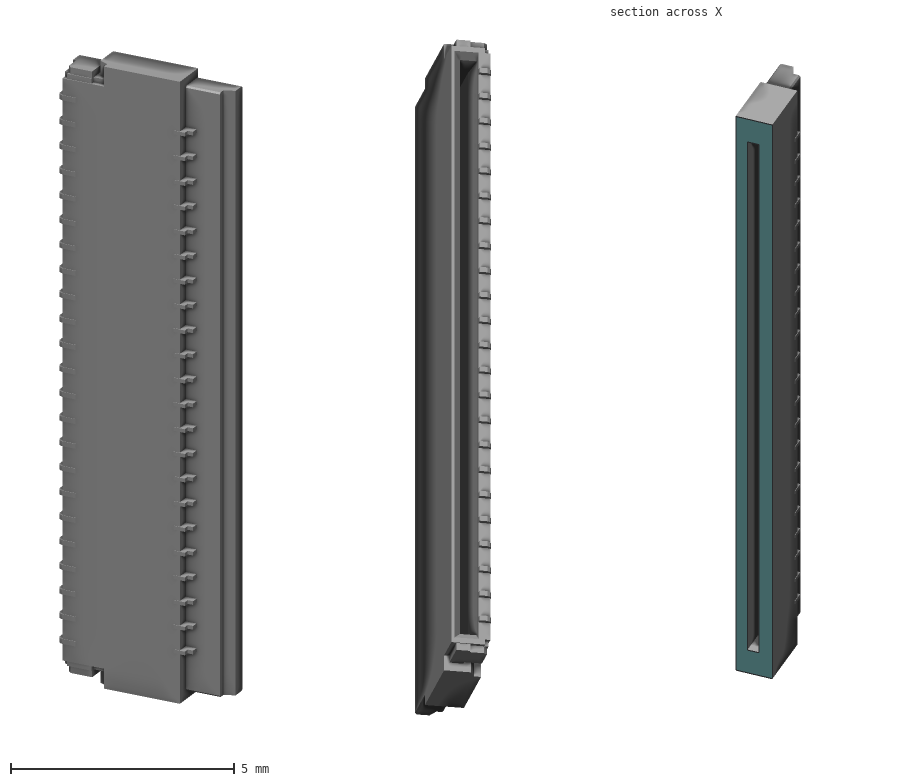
import cadquery as cq


length = 15.1
height = 0.9
board_gap = 0.02
mouth_x = 0.12
ear_x = 0.94
ear_under_x = 1.16
rear_x = 3.08
ear_slope_top = 0.29
ear_slope_bottom = 0.18
ledge_half_length = 7.07
shoulder_half_length = 7.19
shoulder_y = 0.14

hold_half_length = 7.35
hold_setback = 0.03
hold_start_x = mouth_x + hold_setback
hold_top_y = 0.79
hold_shoulder_y = 0.47
hold_front_x = 0.23
hold_rear_x = 0.85
hold_front_y = 0.06
hold_base_y = 0.038
hold_chamfer = 0.08

slot_floor_y = 0.29
slot_ceiling_y = 0.68
slot_depth = 2.11
slot_half_length = 6.92
mouth_bevel = 0.15
throat_depth = 0.9
throat_floor_rise = 0.06
throat_ceiling_drop = 0.06

actuator_half_length = 7.34
actuator_bottom_y = 0.3
actuator_edge_x = 3.94
actuator_edge_y = 0.47
actuator_end_x = 4.2
actuator_end_y = 0.57
actuator_chamfer = 0.038

front_count = 23
front_row_span = 13.2
pitch = front_row_span / (front_count - 1)
rear_count = front_count - 1
front_width = 0.12
rear_width = 0.09
front_tail_top_y = slot_floor_y
front_bend_x = 0.05
front_bend_y = 0.1
front_toe_y = 0.03
front_foot_x = 0.45
rear_foot_x = 2.93
rear_heel_x = 3.22
rear_step_y = 0.14
rear_tail_end_x = 3.35
embed = 0.05


def prism(points, z_from, z_to):
    """Extrude a closed XY outline between two Z heights."""
    return cq.Workplane("XY", origin=(0, 0, z_from)).polyline(points).close().extrude(z_to - z_from)


def centred_prism(points, half_length):
    return prism(points, -half_length, half_length)


def rectangle(x_from, x_to, y_from, y_to):
    return [(x_from, y_from), (x_to, y_from), (x_to, y_to), (x_from, y_to)]


def make_housing():
    middle = centred_prism(
        [
            (ear_x, height),
            (ear_x, ear_slope_top),
            (ear_under_x, ear_slope_bottom),
            (ear_under_x, board_gap),
            (rear_x, board_gap),
            (rear_x, height),
        ],
        length / 2,
    )
    mouth = centred_prism(rectangle(mouth_x, ear_under_x, board_gap, height), ledge_half_length)
    shoulder = centred_prism(rectangle(mouth_x, ear_under_x, shoulder_y, height), shoulder_half_length)
    return middle.union(mouth).union(shoulder)


def make_hold_downs():
    """Bars through the housing whose ends form the stepped block at each end."""
    outline = [
        (hold_start_x, hold_top_y),
        (hold_start_x, hold_shoulder_y),
        (hold_front_x, hold_shoulder_y),
        (hold_front_x, hold_front_y + hold_chamfer),
        (hold_front_x + hold_chamfer, hold_front_y),
        (hold_rear_x, hold_front_y),
        (hold_rear_x, hold_shoulder_y),
        (ear_x, hold_shoulder_y),
        (ear_x, hold_top_y),
    ]
    base = centred_prism(
        rectangle(hold_front_x, hold_rear_x, hold_base_y, hold_shoulder_y), shoulder_half_length
    )
    return centred_prism(outline, hold_half_length).union(base)


def make_slot():
    """Cable slot, bevelled at its upper edge and at both ends."""
    bevel_x = mouth_x + mouth_bevel
    throat_x = mouth_x + throat_depth
    bottom_x = mouth_x + slot_depth
    outer_half = slot_half_length + mouth_bevel
    section = centred_prism(
        [
            (mouth_x, slot_floor_y),
            (bevel_x, slot_floor_y),
            (throat_x, slot_floor_y + throat_floor_rise),
            (bottom_x, slot_floor_y + throat_floor_rise),
            (bottom_x, slot_ceiling_y - throat_ceiling_drop),
            (throat_x, slot_ceiling_y - throat_ceiling_drop),
            (bevel_x, slot_ceiling_y),
            (mouth_x, slot_ceiling_y + mouth_bevel),
        ],
        outer_half,
    )
    plan = (
        cq.Workplane("XZ")
        .polyline(
            [
                (mouth_x, -outer_half),
                (bevel_x, -slot_half_length),
                (bottom_x, -slot_half_length),
                (bottom_x, slot_half_length),
                (bevel_x, slot_half_length),
                (mouth_x, outer_half),
            ]
        )
        .close()
        .extrude(-height)
    )
    return section.intersect(plan)


def make_actuator():
    outline = [
        (rear_x - embed, height),
        (rear_x - embed, actuator_bottom_y),
        (actuator_edge_x, actuator_bottom_y),
        (actuator_edge_x, actuator_edge_y),
        (actuator_end_x, actuator_end_y),
        (actuator_end_x, height),
    ]
    return centred_prism(outline, actuator_half_length).edges("|X").chamfer(actuator_chamfer)


def add_tails(body, outline, width, count):
    """Add a row of equal tails, centred on Z = 0."""
    for index in range(count):
        z = (index - (count - 1) / 2) * pitch
        body = body.union(prism(outline, z - width / 2, z + width / 2))
    return body


front_tail = [
    (0, front_tail_top_y),
    (0, front_bend_y),
    (front_bend_x, front_toe_y),
    (mouth_x, 0),
    (front_foot_x, 0),
    (front_foot_x, board_gap + embed),
    (mouth_x + embed, board_gap + embed),
    (mouth_x + embed, front_tail_top_y),
]
rear_tail = [
    (rear_foot_x, 0),
    (rear_heel_x, 0),
    (rear_heel_x, rear_step_y),
    (rear_tail_end_x, rear_step_y),
    (rear_tail_end_x, actuator_bottom_y + embed),
    (rear_x - embed, actuator_bottom_y + embed),
    (rear_x - embed, board_gap + embed),
    (rear_foot_x, board_gap + embed),
]

result = make_housing().union(make_hold_downs()).cut(make_slot()).union(make_actuator())
result = add_tails(result, front_tail, front_width, front_count)
result = add_tails(result, rear_tail, rear_width, rear_count)